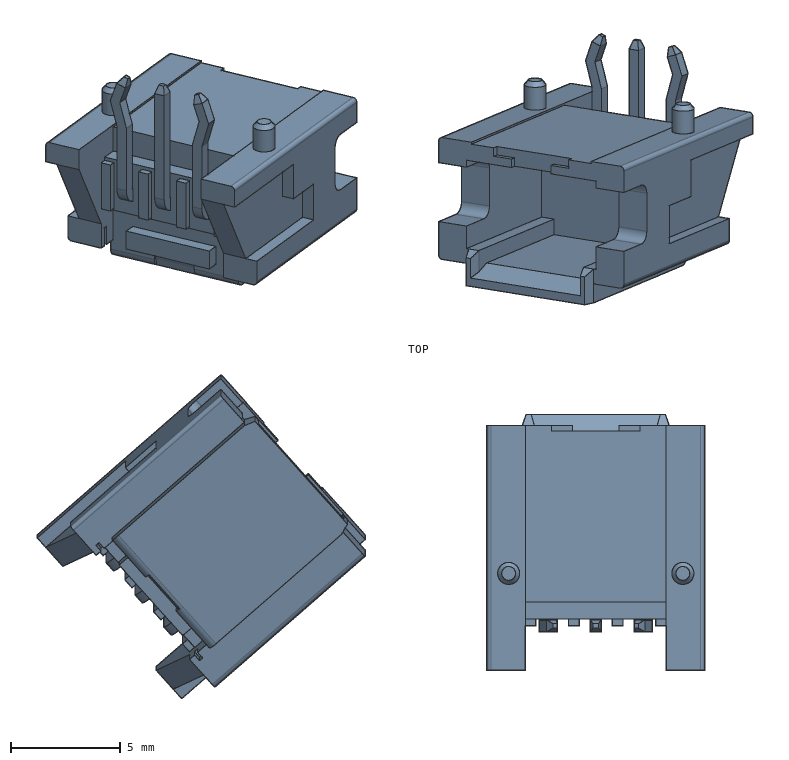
import cadquery as cq
import math


OVERALL_WIDTH = 10.0
RAIL_OUTER_X = OVERALL_WIDTH / 2
RAIL_INNER_X = 3.23
RAIL_REAR_Y = 11.25
RAIL_FOOT_Y = 2.05
RAIL_BOTTOM_Z = 0.9
RAIL_TOP_Z = 6.7
RAIL_EDGE_RADIUS = 0.2
WEB_BOTTOM_Z = 2.14
WEB_TOP_Z = 5.69
POCKET_DEPTH = 0.59
POCKET_STEP_Z = 3.95
POCKET_UPPER_Y = 5.4
POCKET_LOWER_Y = 7.27

WINDOW_Y = 9.25
WINDOW_BOTTOM_Z = 2.68
WINDOW_TOP_Z = 5.48
WINDOW_RADIUS = 0.49

BODY_FRONT_Y = 3.14
BODY_TOP_Z = 6.6
BASE_HALF_X = 3.37
BASE_EDGE_RADIUS = 0.4

LIP_REAR_Y = 11.75
LIP_REAR_HALF_X = 3.2
LIP_REAR_Z = 1.33
LIP_TOP_Z = 1.61

CAVITY_FRONT_Y = 4.7
CAVITY_HALF_X = 3.49
CAVITY_TOP_Z = 5.8
CHANNEL_HALF_X = 2.82
CHANNEL_MOUTH_HALF_X = 2.96
CHANNEL_FLOOR_Z = 0.87
CHANNEL_MOUTH_Z = 0.4
CHANNEL_RAMP_Y = 10.58

NOTCH_LENGTH = 0.27
NOTCH_HALF_X = 2.02
NOTCH_STEP_DEPTH = 0.4
NOTCH_SLOT_HALF_X = 1.06

CARRIER_FRONT_Y = 2.36
CARRIER_BOTTOM_Z = 2.81
CARRIER_TOP_Z = 5.38
PITCH = 2.0
RIB_WIDTH = 0.5
RIB_FRONT_Y = 2.05
RIB_BOTTOM_Z = 2.89
RIB_TOP_Z = 5.22

BAR_HALF_X = 2.2
BAR_FRONT_Y = 2.54
BAR_TOP_Z = 1.81
RECESS_HALF_X = 1.06
RECESS_DEPTH = 0.12
RECESS_RAMP_Z = 0.45
RECESS_RAMP_DEPTH = 0.25
SLIT_WIDTH = 0.19
SLIT_DEPTH = 0.35

PEG_X = 4.0
PEG_Y = 4.45
PEG_RADIUS = 0.5
PEG_TOP_Z = 8.0
PEG_CHAMFER_HEIGHT = 0.22
PEG_CHAMFER_WIDTH = 0.19

PIN_WIDTH = 0.5
PIN_FRONT_Y = 1.77
PIN_THICKNESS = 0.54
PIN_BEND_RADIUS = 0.8
PIN_BOTTOM_Z = 3.45
PIN_TOP_Z = 9.9
TIP_LENGTH = 0.4
TIP_WIDTH = 0.25
TIP_THICKNESS = 0.21
KINK_START_Z = 7.4
KNEE_Z = 8.62
KNEE_OFFSET = 0.35
KINK_END_ANGLE = 20.0
KINK_TIP_WIDTH = 0.21
KINK_TIP_SHIFT = -0.02

PIN_CENTRE_Y = PIN_FRONT_Y + PIN_THICKNESS / 2


def block(x0, x1, y0, y1, z0, z1):
    """Box between two opposite corners."""
    return cq.Workplane("XY").box(x1 - x0, y1 - y0, z1 - z0, centered=False).translate((x0, y0, z0))


def centred_block(half_x, y0, y1, z0, z1):
    return block(-half_x, half_x, y0, y1, z0, z1)


def side_extrusion(points, x0, x1):
    """Prism along X from a closed outline of (y, z) points."""
    return cq.Workplane("YZ").polyline(points).close().extrude(x1 - x0).translate((x0, 0, 0))


def right_rail():
    profile = [
        (0, RAIL_TOP_Z),
        (RAIL_REAR_Y, RAIL_TOP_Z),
        (RAIL_REAR_Y, RAIL_BOTTOM_Z),
        (RAIL_FOOT_Y, RAIL_BOTTOM_Z),
        (RAIL_FOOT_Y, WEB_BOTTOM_Z),
        (0, WEB_TOP_Z),
    ]
    rail = side_extrusion(profile, RAIL_INNER_X, RAIL_OUTER_X)
    rail = rail.edges("|Y and >X").fillet(RAIL_EDGE_RADIUS)

    pocket_x = RAIL_OUTER_X - POCKET_DEPTH
    rail = rail.cut(block(pocket_x, RAIL_OUTER_X, 0, POCKET_UPPER_Y, WEB_BOTTOM_Z, WEB_TOP_Z))
    rail = rail.cut(block(pocket_x, RAIL_OUTER_X, 0, POCKET_LOWER_Y, WEB_BOTTOM_Z, POCKET_STEP_Z))

    slit_end_x = RAIL_INNER_X + SLIT_DEPTH
    slit_front_y = BAR_FRONT_Y - SLIT_WIDTH
    return rail.cut(block(RAIL_INNER_X, slit_end_x, slit_front_y, BAR_FRONT_Y, RAIL_BOTTOM_Z, BAR_TOP_Z))


def housing_body():
    base = centred_block(BASE_HALF_X, BODY_FRONT_Y, RAIL_REAR_Y, 0, RAIL_BOTTOM_Z)
    base = base.edges("|X and <Y and <Z").fillet(BASE_EDGE_RADIUS)
    body = centred_block(RAIL_INNER_X, BODY_FRONT_Y, RAIL_REAR_Y, RAIL_BOTTOM_Z, BODY_TOP_Z)
    return base.union(body)


def lip():
    """Rear lip, tapering in plan and sloping down along its top."""
    plan = [
        (-BASE_HALF_X, RAIL_REAR_Y),
        (BASE_HALF_X, RAIL_REAR_Y),
        (LIP_REAR_HALF_X, LIP_REAR_Y),
        (-LIP_REAR_HALF_X, LIP_REAR_Y),
    ]
    profile = [
        (RAIL_REAR_Y, 0),
        (LIP_REAR_Y, 0),
        (LIP_REAR_Y, LIP_REAR_Z),
        (RAIL_REAR_Y, LIP_TOP_Z),
    ]
    tapered = cq.Workplane("XY").polyline(plan).close().extrude(LIP_TOP_Z)
    return tapered.intersect(side_extrusion(profile, -BASE_HALF_X, BASE_HALF_X))


def cavity():
    """Space of the mating cavity, with its flared and ramped mouth."""
    wide = centred_block(CAVITY_HALF_X, CAVITY_FRONT_Y, RAIL_REAR_Y, LIP_TOP_Z, CAVITY_TOP_Z)
    plan = [
        (-CHANNEL_HALF_X, CAVITY_FRONT_Y),
        (CHANNEL_HALF_X, CAVITY_FRONT_Y),
        (CHANNEL_HALF_X, RAIL_REAR_Y),
        (CHANNEL_MOUTH_HALF_X, LIP_REAR_Y),
        (-CHANNEL_MOUTH_HALF_X, LIP_REAR_Y),
        (-CHANNEL_HALF_X, RAIL_REAR_Y),
    ]
    profile = [
        (CAVITY_FRONT_Y, CHANNEL_FLOOR_Z),
        (CHANNEL_RAMP_Y, CHANNEL_FLOOR_Z),
        (LIP_REAR_Y, CHANNEL_MOUTH_Z),
        (LIP_REAR_Y, LIP_TOP_Z),
        (CAVITY_FRONT_Y, LIP_TOP_Z),
    ]
    channel = cq.Workplane("XY").polyline(plan).close().extrude(LIP_TOP_Z)
    channel = channel.intersect(side_extrusion(profile, -CHANNEL_MOUTH_HALF_X, CHANNEL_MOUTH_HALF_X))
    return wide.union(channel)


def rail_window():
    window = centred_block(RAIL_OUTER_X, WINDOW_Y, RAIL_REAR_Y, WINDOW_BOTTOM_Z, WINDOW_TOP_Z)
    return window.edges("|X and <Y").fillet(WINDOW_RADIUS)


def top_notch():
    front_y = RAIL_REAR_Y - NOTCH_LENGTH
    step = centred_block(NOTCH_HALF_X, front_y, RAIL_REAR_Y, BODY_TOP_Z - NOTCH_STEP_DEPTH, BODY_TOP_Z)
    slot = centred_block(NOTCH_SLOT_HALF_X, front_y, RAIL_REAR_Y, CAVITY_TOP_Z, BODY_TOP_Z)
    return step.union(slot)


def base_recess():
    """Shallow recess under the bar that deepens towards the underside."""
    back_y = BODY_FRONT_Y + RECESS_DEPTH
    profile = [
        (BODY_FRONT_Y, 0),
        (BODY_FRONT_Y + RECESS_RAMP_DEPTH, 0),
        (back_y, RECESS_RAMP_Z),
        (back_y, RAIL_BOTTOM_Z),
        (BODY_FRONT_Y, RAIL_BOTTOM_Z),
    ]
    return side_extrusion(profile, -RECESS_HALF_X, RECESS_HALF_X)


def carrier():
    """Pin carrier with four ribs that stand between and beside the pins."""
    part = centred_block(RAIL_INNER_X, CARRIER_FRONT_Y, BODY_FRONT_Y, CARRIER_BOTTOM_Z, CARRIER_TOP_Z)
    for place in (-1.5, -0.5, 0.5, 1.5):
        rib = centred_block(RIB_WIDTH / 2, RIB_FRONT_Y, CARRIER_FRONT_Y, RIB_BOTTOM_Z, RIB_TOP_Z)
        part = part.union(rib.translate((place * PITCH, 0, 0)))
    return part


def peg(x):
    part = cq.Workplane("XY").circle(PEG_RADIUS).extrude(PEG_TOP_Z - RAIL_TOP_Z)
    part = part.faces(">Z").chamfer(PEG_CHAMFER_HEIGHT, PEG_CHAMFER_WIDTH)
    return part.translate((x, PEG_Y, RAIL_TOP_Z))


def pin_foot(top_z):
    """Pin at x = 0 that leaves the carrier, bends upwards and rises to top_z."""
    back_y = PIN_FRONT_Y + PIN_THICKNESS
    inner_radius = PIN_BEND_RADIUS - PIN_THICKNESS
    bend_y = PIN_FRONT_Y + PIN_BEND_RADIUS
    bend_z = PIN_BOTTOM_Z + PIN_BEND_RADIUS
    diagonal = math.sqrt(0.5)
    return (
        cq.Workplane("YZ", origin=(-PIN_WIDTH / 2, 0, 0))
        .moveTo(PIN_FRONT_Y, top_z)
        .lineTo(PIN_FRONT_Y, bend_z)
        .threePointArc(
            (bend_y - PIN_BEND_RADIUS * diagonal, bend_z - PIN_BEND_RADIUS * diagonal),
            (bend_y, PIN_BOTTOM_Z),
        )
        .lineTo(BODY_FRONT_Y, PIN_BOTTOM_Z)
        .lineTo(BODY_FRONT_Y, PIN_BOTTOM_Z + PIN_THICKNESS)
        .lineTo(bend_y, PIN_BOTTOM_Z + PIN_THICKNESS)
        .threePointArc(
            (bend_y - inner_radius * diagonal, bend_z - inner_radius * diagonal),
            (back_y, bend_z),
        )
        .lineTo(back_y, top_z)
        .close()
        .extrude(PIN_WIDTH)
    )


def pin_tip(base_width, end_width, end_shift=0.0):
    """Four-sided tapered tip standing on the origin, its end shifted along X."""
    return (
        cq.Workplane("XY")
        .rect(base_width, PIN_THICKNESS)
        .workplane(offset=TIP_LENGTH)
        .center(end_shift, 0)
        .rect(end_width, TIP_THICKNESS)
        .loft()
    )


def straight_pin():
    tip_z = PIN_TOP_Z - TIP_LENGTH
    return pin_foot(tip_z).union(pin_tip(PIN_WIDTH, TIP_WIDTH).translate((0, PIN_CENTRE_Y, tip_z)))


def kinked_pin():
    """Pin at x = 0 that kinks towards +X and returns towards -X at its end."""
    angle = math.radians(KINK_END_ANGLE)
    end_width = PIN_WIDTH * math.cos(angle)
    corner_shift = KINK_TIP_WIDTH / 2 + KINK_TIP_SHIFT
    tip_z = PIN_TOP_Z - TIP_LENGTH * math.cos(angle) - corner_shift * math.sin(angle)
    tip_x = KNEE_OFFSET - (tip_z - KNEE_Z) * math.tan(angle)
    half = PIN_WIDTH / 2
    end_dx = end_width / 2 * math.cos(angle)
    end_dz = end_width / 2 * math.sin(angle)
    outline = [
        (-half, KINK_START_Z),
        (half, KINK_START_Z),
        (KNEE_OFFSET + half, KNEE_Z),
        (tip_x + end_dx, tip_z + end_dz),
        (tip_x - end_dx, tip_z - end_dz),
        (KNEE_OFFSET - half, KNEE_Z),
    ]
    kink = cq.Workplane("XZ").polyline(outline).close().extrude(-PIN_THICKNESS)
    kink = kink.translate((0, PIN_FRONT_Y, 0))
    tip = pin_tip(end_width, KINK_TIP_WIDTH, KINK_TIP_SHIFT).rotate((0, 0, 0), (0, 1, 0), -KINK_END_ANGLE)
    return pin_foot(KINK_START_Z).union(kink).union(tip.translate((tip_x, PIN_CENTRE_Y, tip_z)))


rail = right_rail()
result = housing_body().union(rail).union(rail.mirror("YZ")).union(lip())
result = result.cut(cavity()).cut(rail_window()).cut(top_notch()).cut(base_recess())
result = result.union(centred_block(BAR_HALF_X, BAR_FRONT_Y, BODY_FRONT_Y, RAIL_BOTTOM_Z, BAR_TOP_Z))
result = result.union(carrier())

for peg_x in (-PEG_X, PEG_X):
    result = result.union(peg(peg_x))

outer_pin = kinked_pin().translate((PITCH, 0, 0))
for pin in (straight_pin(), outer_pin, outer_pin.mirror("YZ")):
    result = result.union(pin)

result = result.val()